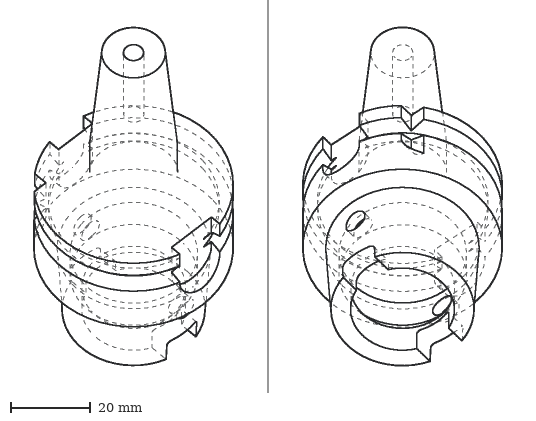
import cadquery as cq
import math

total_height = 105.0
flange_bottom_z = 25.0
flange_height = 26.0
flange_top_z = flange_bottom_z + flange_height
nose_cone_z = 67.0

flange_radius = 25.0
shank_top_radius = 19.2
shank_bottom_radius = 18.0
nose_radius = 11.0
nose_tip_radius = 8.0
nose_fillet = 5.0

groove_center_z = 42.8
groove_floor_radius = 21.4
groove_floor_width = 3.3
groove_mouth_width = 6.5

bore_radius = 2.5
bore_depth = 25.2

mouth_radius = 13.0
mouth_depth = 8.9
shoulder_angle = 30.0
cavity_radius = 16.0
cavity_depth = 23.1

slot_floor_x = 21.0
slot_bottom_z = 32.0
left_slot_radius = 5.9
right_slot_radius = 6.9
corner_notch_x = -15.5
corner_notch_y = -15.5

cross_hole_radius = 3.0
cross_hole_z = 17.3
notch_width = 10.3
notch_fillet = 1.4
left_notch_height = 4.7
right_notch_height = 7.4


def turned_body():
    """Shank, grooved flange and filleted nose, revolved about Z."""
    floor_half = groove_floor_width / 2
    mouth_half = groove_mouth_width / 2
    fillet_center = (nose_radius + nose_fillet, flange_top_z + nose_fillet)
    fillet_reach = nose_fillet * math.sqrt(0.5)
    fillet_middle = (fillet_center[0] - fillet_reach, fillet_center[1] - fillet_reach)
    return (
        cq.Workplane("XZ")
        .lineTo(shank_bottom_radius, 0)
        .lineTo(shank_top_radius, flange_bottom_z)
        .lineTo(flange_radius, flange_bottom_z)
        .lineTo(flange_radius, groove_center_z - mouth_half)
        .lineTo(groove_floor_radius, groove_center_z - floor_half)
        .lineTo(groove_floor_radius, groove_center_z + floor_half)
        .lineTo(flange_radius, groove_center_z + mouth_half)
        .lineTo(flange_radius, flange_top_z)
        .lineTo(fillet_center[0], flange_top_z)
        .threePointArc(fillet_middle, (nose_radius, fillet_center[1]))
        .lineTo(nose_radius, nose_cone_z)
        .lineTo(nose_tip_radius, total_height)
        .lineTo(0, total_height)
        .close()
        .revolve(360, (0, 0, 0), (0, 1, 0))
    )


def tool_bore():
    return (
        cq.Workplane("XY", origin=(0, 0, total_height))
        .circle(bore_radius)
        .extrude(-bore_depth)
    )


def shank_cavity():
    """Clamping cavity, revolved about Z."""
    shoulder_height = (cavity_radius - mouth_radius) / math.tan(math.radians(shoulder_angle))
    return (
        cq.Workplane("XZ")
        .lineTo(mouth_radius, 0)
        .lineTo(mouth_radius, mouth_depth)
        .lineTo(cavity_radius, mouth_depth + shoulder_height)
        .lineTo(cavity_radius, cavity_depth)
        .lineTo(0, cavity_depth)
        .close()
        .revolve(360, (0, 0, 0), (0, 1, 0))
    )


def flange_slot(floor_x, center_y, radius):
    """Round-bottomed cutter running along X from floor_x out past the flange."""
    depth = math.copysign(flange_radius, floor_x)
    arc_z = slot_bottom_z + radius
    return (
        cq.Workplane("YZ", origin=(floor_x, center_y, 0))
        .moveTo(-radius, flange_top_z)
        .lineTo(-radius, arc_z)
        .threePointArc((0, slot_bottom_z), (radius, arc_z))
        .lineTo(radius, flange_top_z)
        .close()
        .extrude(depth)
    )


def cross_hole():
    return (
        cq.Workplane("YZ", origin=(0, 0, cross_hole_z))
        .circle(cross_hole_radius)
        .extrude(flange_radius, both=True)
    )


def drive_notch(side, height):
    """Notch from the tool axis outward; side is -1 for -X and +1 for +X."""
    return (
        cq.Workplane("XY")
        .box(flange_radius, notch_width, height, centered=(True, True, False))
        .edges("|X and >Z")
        .fillet(notch_fillet)
        .translate((side * flange_radius / 2, 0, 0))
    )


result = (
    turned_body()
    .cut(tool_bore())
    .cut(shank_cavity())
    .cut(flange_slot(-slot_floor_x, 0, left_slot_radius))
    .cut(flange_slot(slot_floor_x, 0, right_slot_radius))
    .cut(flange_slot(corner_notch_x, corner_notch_y - left_slot_radius, left_slot_radius))
    .cut(cross_hole())
    .cut(drive_notch(-1, left_notch_height))
    .cut(drive_notch(1, right_notch_height))
)